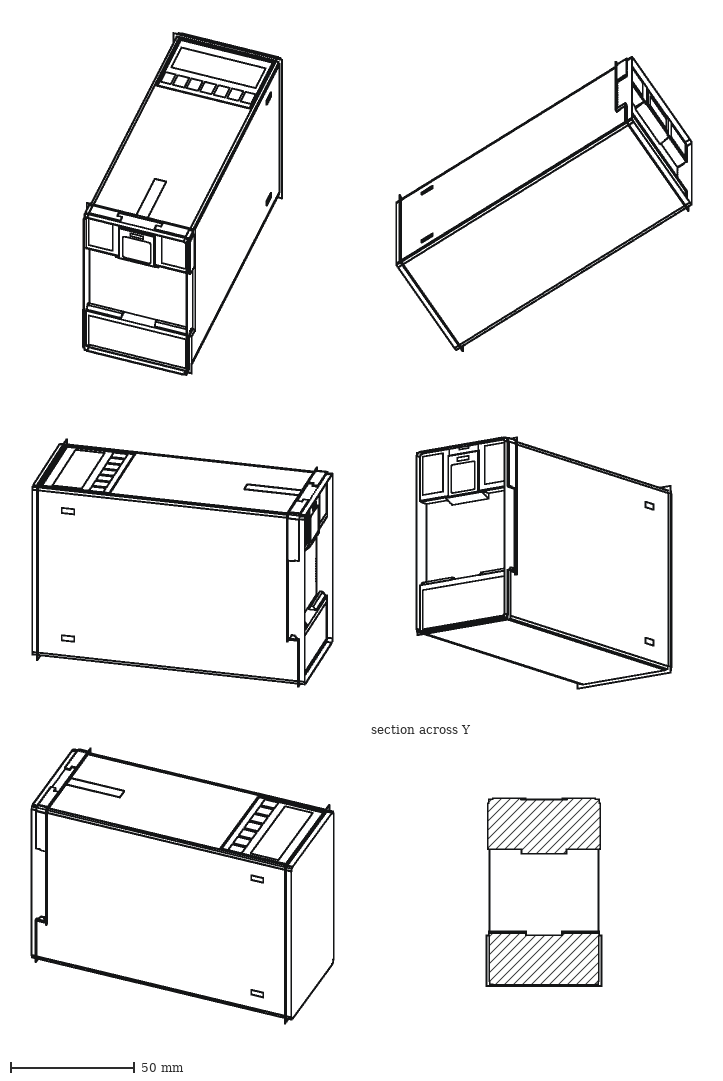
import cadquery as cq

case_length = 114.4
case_width = 44.6
case_height = 75.3
corner_rebate = 1.5
corner_step = 0.29
wall = 0.3
opening_corner_radius = 1.5
half_width = case_width / 2
half_height = case_height / 2
front_y = -case_length / 2

bezel_y = front_y + 2.3
recess_floor_y = bezel_y + 4.6
recess_top_z = 17.4
recess_bottom_z = -17.4

flange_width = 46.8
flange_height = 78.0
flange_thickness = 0.2
rear_flange_y = case_length / 2 - 2.3
front_flange_top_z = 38.7
front_flange_bottom_z = -38.1
front_flange_overlap = 1.1

clip_thickness = 0.6
clip_corner_step = 0.5
clip_step_y = recess_floor_y - 2.3
clip_gap_rear = 18.8
clip_gap_front = 14.6
clip_side_step = 0.3
clip_side_step_y = -53.1

rib_inner_x = 7.2
rib_outer_x = half_width + 0.1
rib_top_z = -15.9
rib_base_y = (-54.1, -51.1)
rib_crest_y = (-53.0, -51.7)

panel_depth = 0.06
panel_outer_x = 20.8
upper_panel_inner_x = 10.5
upper_panel_z = (20.0, 36.0)
lower_panel_z = (-36.0, -19.7)
bezel_lip_height = 0.5
bezel_lip_depth = 0.3

latch_width = 15.6
latch_bottom_z = 17.0
latch_top_z = 34.5
latch_height = 0.6
latch_chamfer = 0.3
latch_top_strip_width = 14.6
button_width = 11.9
button_z = (18.5, 30.3)
button_radius = 0.8
latch_slot_width = 5.7
latch_slot_z = (31.5, 33.0)
notch_bottom_z = 36.4
wedge_width = 18.3
wedge_bottom_z = 15.1

groove_width = 4.9
groove_rear_y = -26.5
groove_depth = 0.2

control_width = 41.0
control_y = (25.0, 54.1)
control_side_rim = 0.7
control_end_rim = 0.4
control_rim_depth = 0.2
control_depth = 0.5
display_width = 36.3
display_y = (37.5, 49.8)
key_count = 7
key_pitch = 5.8
key_width = 4.9
key_y = (28.1, 34.1)
key_edge_gap = 0.3
mark_depth = 0.1

slot_y = (39.5, 44.8)
slot_z = (27.2, 29.5)
slot_depth = 0.2


def block(x_range, y_range, z_range):
    """Box spanning the given (low, high) ranges."""
    ranges = (x_range, y_range, z_range)
    size = [high - low for low, high in ranges]
    middle = tuple((high + low) / 2 for low, high in ranges)
    return cq.Workplane("XY").box(*size).translate(middle)


def centred(width):
    """Range of the given width, symmetric about zero."""
    return (-width / 2, width / 2)


def both_sides(shape):
    """The shape together with its mirror image across the YZ plane."""
    return shape.union(shape.mirror("YZ"))


def stepped_section(growth, step, y_range):
    """Case section with its flat faces moved outwards by growth and its corners set back by step."""
    core_growth = 2 * (growth - step)
    core = block(centred(case_width + core_growth), y_range, centred(case_height + core_growth))
    wide = block(centred(case_width + 2 * growth), y_range, centred(case_height - 2 * corner_rebate))
    tall = block(centred(case_width - 2 * corner_rebate), y_range, centred(case_height + 2 * growth))
    return core.union(wide).union(tall)


def case_body():
    return stepped_section(0, corner_step, centred(case_length))


def front_opening():
    """Shallow opening inside the case walls, plus the deeper recess across the middle."""
    opening_width = case_width - 2 * wall
    opening = block(centred(opening_width), (front_y, bezel_y), centred(case_height - 2 * wall))
    opening = opening.edges("|Y").fillet(opening_corner_radius)
    recess = block(centred(opening_width), (front_y, recess_floor_y), (recess_bottom_z, recess_top_z))
    return opening.union(recess)


def flanges():
    """Rear collar, and a front collar that steps forward below the recess."""
    across = centred(flange_width)
    rear = block(across, (rear_flange_y - flange_thickness, rear_flange_y), centred(flange_height))
    upper = block(
        across,
        (recess_floor_y, recess_floor_y + flange_thickness),
        (recess_bottom_z - front_flange_overlap, front_flange_top_z),
    )
    ledge = block(
        across,
        (bezel_y, recess_floor_y + flange_thickness),
        (recess_bottom_z - flange_thickness, recess_bottom_z),
    )
    lower = block(across, (bezel_y, bezel_y + flange_thickness), (front_flange_bottom_z, recess_bottom_z))
    return rear.union(upper).union(ledge).union(lower)


def upper_clip():
    """Raised skin over the top and upper sides, with a stepped gap in the middle."""
    outer_x = half_width + clip_thickness
    top_z = half_height + clip_thickness
    y_range = (bezel_y, recess_floor_y)
    clip = stepped_section(clip_thickness, clip_corner_step, y_range)
    clip = clip.intersect(block((-outer_x, outer_x), y_range, (recess_top_z, top_z)))
    side_trim = block(
        (-outer_x, outer_x),
        (bezel_y, clip_side_step_y),
        (recess_top_z, recess_top_z + clip_side_step),
    )
    gap_z = (half_height, top_z)
    rear_gap = block(centred(clip_gap_rear), (clip_step_y, recess_floor_y), gap_z)
    front_gap = block(centred(clip_gap_front), (bezel_y, clip_step_y), gap_z)
    return clip.cut(side_trim).cut(rear_gap).cut(front_gap)


def recess_ribs():
    """Trapezoidal ribs standing on the lower edge of the recess, left and right."""
    rib = (
        cq.Workplane("YZ")
        .moveTo(rib_base_y[0], recess_bottom_z)
        .lineTo(rib_crest_y[0], rib_top_z)
        .lineTo(rib_crest_y[1], rib_top_z)
        .lineTo(rib_base_y[1], recess_bottom_z)
        .close()
        .extrude(rib_outer_x - rib_inner_x)
        .translate((rib_inner_x, 0, 0))
    )
    return both_sides(rib)


def front_panels():
    """Shallow windows sunk into the bezel."""
    depth_range = (bezel_y, bezel_y + panel_depth)
    upper = block((upper_panel_inner_x, panel_outer_x), depth_range, upper_panel_z)
    lower = block((-panel_outer_x, panel_outer_x), depth_range, lower_panel_z)
    return both_sides(upper).union(lower)


def bezel_details():
    """Stepped lower lip of the upper bezel, and the notched strip above the latch."""
    lip = block(
        centred(case_width - 2 * wall),
        (bezel_y, bezel_y + bezel_lip_depth),
        (recess_top_z, recess_top_z + bezel_lip_height),
    )
    ceiling_z = half_height - wall
    strip_floor_y = bezel_y + panel_depth
    strip = block(centred(latch_top_strip_width), (bezel_y, strip_floor_y), (latch_top_z, ceiling_z))
    notch = block(
        centred(groove_width),
        (strip_floor_y, strip_floor_y + panel_depth),
        (notch_bottom_z, ceiling_z),
    )
    return lip.union(strip).union(notch)


def latch():
    """Raised latch plate with a button outline and slot, and the wedge under it."""
    face_y = bezel_y - latch_height
    plate = block(centred(latch_width), (face_y, recess_floor_y), (latch_bottom_z, latch_top_z))
    plate = plate.faces("<Y").chamfer(latch_chamfer)
    depth_range = (face_y, face_y + panel_depth)
    button = block(centred(button_width), depth_range, button_z).edges("|Y").fillet(button_radius)
    slot = block(centred(latch_slot_width), depth_range, latch_slot_z)
    wedge = (
        cq.Workplane("YZ")
        .moveTo(bezel_y, recess_top_z)
        .lineTo(recess_floor_y, recess_top_z)
        .lineTo(recess_floor_y, wedge_bottom_z)
        .lineTo(bezel_y, latch_bottom_z)
        .close()
        .extrude(wedge_width / 2, both=True)
    )
    return plate.cut(button).cut(slot).union(wedge)


def control_panel():
    """Stepped pocket with sunken display and a row of keys, the end keys cut short by the pocket."""
    inner_width = control_width - 2 * control_side_rim
    inner_y = (control_y[0] + control_end_rim, control_y[1] - control_end_rim)
    floor_z = half_height - control_depth
    mark_z = (floor_z - mark_depth, floor_z)
    rim = block(centred(control_width), control_y, (half_height - control_rim_depth, half_height))
    pocket = block(centred(inner_width), inner_y, (floor_z, half_height))
    marks = block(centred(display_width), display_y, mark_z)
    for index in range(key_count):
        key_x = (index - (key_count - 1) / 2) * key_pitch
        key = block((key_x - key_width / 2, key_x + key_width / 2), key_y, mark_z)
        marks = marks.union(key)
    marks = marks.intersect(block(centred(inner_width - 2 * key_edge_gap), inner_y, mark_z))
    return rim.union(pocket).union(marks)


def guide_groove():
    return block(
        centred(groove_width),
        (recess_floor_y + flange_thickness, groove_rear_y),
        (half_height - groove_depth, half_height),
    )


def side_slots():
    """Upper and lower slots in both side walls."""
    upper = block((half_width - slot_depth, half_width), slot_y, slot_z)
    return both_sides(upper.union(upper.mirror("XY")))


outside = case_body().union(flanges()).union(upper_clip())
hollowed = outside.cut(front_opening()).cut(front_panels()).cut(bezel_details())
cut_body = hollowed.cut(control_panel()).cut(guide_groove()).cut(side_slots())
result = cut_body.union(recess_ribs()).union(latch())